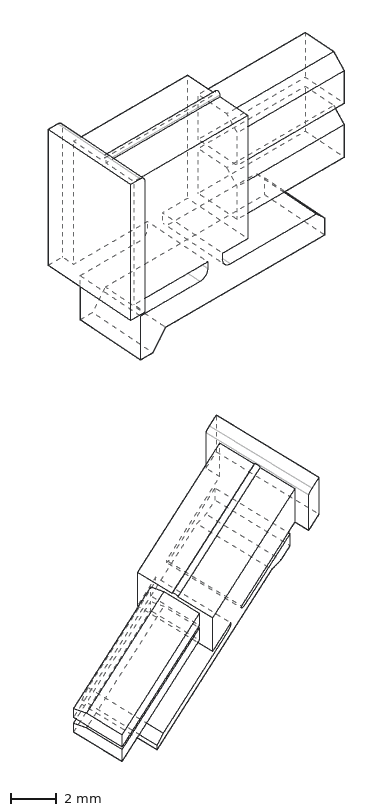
import cadquery as cq

total_length = 14.0
total_height = 10.85

plate_width = 5.26
plate_thickness = 0.85
plate_bottom = 3.29
plate_edge_radius = 0.28

body_width = 3.85
body_back = 7.63
body_top = 10.14

rib_width = 0.3
rib_height = 0.25

post_size = 2.49
post_bevel = 0.67
lower_post_bottom = 3.96
post_pitch = 3.0
post_count = 2

arm_bottom = 1.01
arm_top = 2.45
arm_front = 1.25
arm_back = 12.21
arm_bevel = 0.5
hook_tip_back = 1.99
hook_root_back = 2.75
neck_front = 5.25
neck_back = 6.13
neck_fillet = 0.46


def block(width, front, back, bottom, top):
    """Box centred on X between the given Y and Z limits."""
    return cq.Workplane("XY").box(
        width, back - front, top - bottom, centered=(True, False, False)
    ).translate((0, front, bottom))


def make_plate():
    plate = block(plate_width, 0, plate_thickness, plate_bottom, total_height)
    return plate.edges(">Y and >Z").fillet(plate_edge_radius)


def make_rib():
    radius = rib_width / 2
    crown = body_top + rib_height
    shoulder = crown - radius
    profile = (
        cq.Workplane("XZ", origin=(0, body_back, 0))
        .moveTo(-radius, body_top - rib_height)
        .lineTo(-radius, shoulder)
        .threePointArc((0, crown), (radius, shoulder))
        .lineTo(radius, body_top - rib_height)
        .close()
    )
    return profile.extrude(body_back - plate_thickness)


def make_post(bottom):
    post = block(post_size, body_back, total_length, bottom, bottom + post_size)
    return post.edges(">X and >Z").chamfer(post_bevel)


def make_latch():
    """Latch side profile in the YZ plane, extruded over the body width."""
    profile = (
        cq.Workplane("YZ")
        .moveTo(arm_front, 0)
        .lineTo(hook_tip_back, 0)
        .lineTo(hook_root_back, arm_bottom)
        .lineTo(arm_back, arm_bottom)
        .lineTo(arm_back, arm_top - arm_bevel)
        .lineTo(arm_back - arm_bevel, arm_top)
        .lineTo(neck_back + neck_fillet, arm_top)
        .radiusArc((neck_back, arm_top + neck_fillet), neck_fillet)
        .lineTo(neck_back, plate_bottom)
        .lineTo(neck_front, plate_bottom)
        .lineTo(neck_front, arm_top + neck_fillet)
        .radiusArc((neck_front - neck_fillet, arm_top), neck_fillet)
        .lineTo(arm_front, arm_top)
        .close()
    )
    return profile.extrude(body_width / 2, both=True)


result = block(body_width, plate_thickness, body_back, plate_bottom, body_top)
result = result.union(make_plate()).union(make_rib()).union(make_latch())
for index in range(post_count):
    result = result.union(make_post(lower_post_bottom + index * post_pitch))